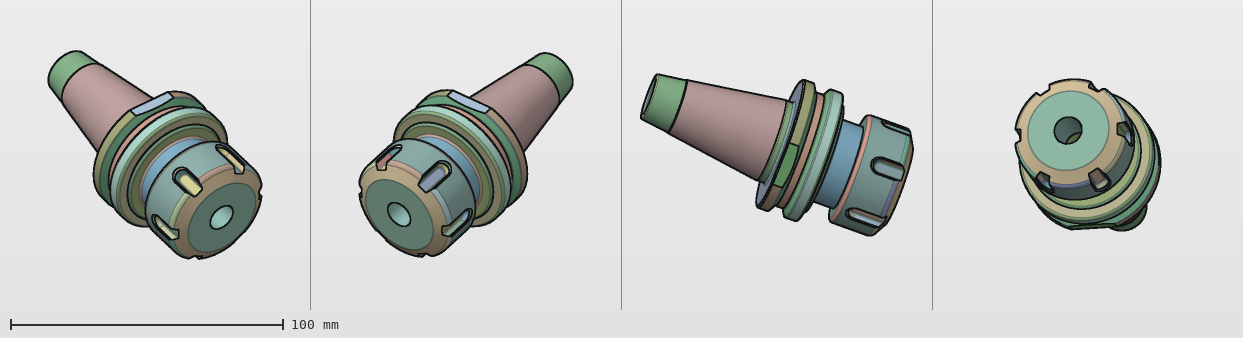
import cadquery as cq
import math


total_length = 97.8
bore_radius = 10.3 / 2

taper_ratio = 7 / 24
gauge_radius = 31.8 / 2
gauge_x = 48.9
shank_step_x = 10.8
shank_step_length = 0.3
shank_step_height = 0.2
shank_rounding = 0.5
taper_end_x = 47.8
relief_start_x = 48.4
relief_radius = 31.2 / 2
relief_fillet = 0.9

recess_radius = 13.0 / 2
recess_depth = 6.8
recess_rounding = 0.7
recess_cone_angle = 45.0

flange_x = 51.15
flange_end_x = 67.0
flange_radius = 50.0 / 2
flange_front_chamfer = 0.6
flange_back_fillet = 1.0
groove_radius = 44.3 / 2
groove_start_x = 57.1
groove_end_x = 60.5
groove_wall_angle = 30.0
groove_front_edge_fillet = 0.4
groove_back_edge_fillet = 0.7
groove_root_fillet = 0.5
flat_distance = 23.5

shoulder_radius = 42.0 / 2
shoulder_end_x = 68.8
shoulder_relief = 0.6
shoulder_fillet = 0.9
neck_radius = 32.0 / 2
neck_fillet = 0.8

nut_x = 77.9
nut_radius = 42.0 / 2
nut_back_fillet = 1.5
nut_face_radius = 30.4 / 2
nut_cone_angle = 60.0
nut_cone_fillet = 2.25
nut_face_chamfer = 0.3

slot_count = 6
first_slot_angle = 30.0
slot_floor_half_width = 1.8
slot_floor_distance = 18.1
slot_wall_foot_half_width = 2.2
slot_wall_foot_distance = 18.4
slot_wall_top_half_width = 2.7
slot_wall_top_distance = 20.3
slot_flare_angle = 55.0
slot_outer_distance = 22.0
short_slot_x = 86.8
long_slot_extra = 2.1


def revolve_about_x(profile):
    """Turn a profile drawn as (x, radius) about the X axis."""
    return profile.revolve(360, (0, 0, 0), (1, 0, 0))


def taper_radius(x):
    """Radius of the fitting taper at x."""
    return gauge_radius + (x - gauge_x) * taper_ratio / 2


def round_rim(body, x, radius, size):
    """Fillet the full circular edge of the given radius at x."""
    tolerance = 0.01
    edge_box = cq.selectors.BoxSelector(
        (x - tolerance, -radius - tolerance, -radius - tolerance),
        (x + tolerance, radius + tolerance, radius + tolerance),
        boundingbox=True,
    )
    largest = cq.selectors.RadiusNthSelector(-1)
    return body.edges(edge_box).edges(largest).fillet(size)


def make_holder_blank():
    groove_run = (flange_radius - groove_radius) * math.tan(math.radians(groove_wall_angle))
    rim_end_x = groove_start_x - groove_run
    collar_x = groove_end_x + groove_run
    step_end_x = shank_step_x + shank_step_length
    blank = revolve_about_x(
        cq.Workplane("XY")
        .moveTo(0, 0)
        .lineTo(0, taper_radius(0))
        .lineTo(shank_step_x, taper_radius(shank_step_x) - shank_step_height)
        .lineTo(step_end_x, taper_radius(step_end_x))
        .lineTo(taper_end_x, taper_radius(taper_end_x))
        .lineTo(relief_start_x, relief_radius)
        .lineTo(flange_x, relief_radius)
        .lineTo(flange_x, flange_radius)
        .lineTo(rim_end_x, flange_radius)
        .lineTo(groove_start_x, groove_radius)
        .lineTo(groove_end_x, groove_radius)
        .lineTo(collar_x, flange_radius)
        .lineTo(flange_end_x, flange_radius)
        .lineTo(flange_end_x, shoulder_radius - shoulder_relief)
        .lineTo(flange_end_x + shoulder_relief, shoulder_radius)
        .lineTo(shoulder_end_x, shoulder_radius)
        .lineTo(shoulder_end_x, neck_radius)
        .lineTo(nut_x, neck_radius)
        .lineTo(nut_x, 0)
        .close()
    )
    blank = round_rim(blank, 0, taper_radius(0), shank_rounding)
    blank = round_rim(blank, flange_x, relief_radius, relief_fillet)
    blank = round_rim(blank, rim_end_x, flange_radius, groove_front_edge_fillet)
    blank = round_rim(blank, collar_x, flange_radius, groove_back_edge_fillet)
    blank = round_rim(blank, groove_start_x, groove_radius, groove_root_fillet)
    blank = round_rim(blank, groove_end_x, groove_radius, groove_root_fillet)
    blank = round_rim(blank, flange_end_x, flange_radius, flange_back_fillet)
    blank = round_rim(blank, shoulder_end_x, shoulder_radius, shoulder_fillet)
    return round_rim(blank, shoulder_end_x, neck_radius, neck_fillet)


def cut_rim_flats(holder):
    """Cut the two parallel flats of the front rim, then chamfer the rim's front outline."""
    flat_length = groove_start_x - flange_x
    for side in (1, -1):
        cutter = cq.Workplane("XY").box(flat_length, 2 * flange_radius, flange_radius)
        cutter_z = side * (flat_distance + flange_radius / 2)
        holder = holder.cut(cutter.translate((flange_x + flat_length / 2, 0, cutter_z)))
    front_face = holder.faces("|X").faces(cq.selectors.NearestToPointSelector((flange_x, 0, 0)))
    rim_edges = front_face.val().outerWire().Edges()
    return holder.newObject(rim_edges).chamfer(flange_front_chamfer)


def make_bore():
    """Through bore with the wider recess, coned at its bottom, in the small end."""
    cone_length = (recess_radius - bore_radius) / math.tan(math.radians(recess_cone_angle))
    return revolve_about_x(
        cq.Workplane("XY")
        .moveTo(0, 0)
        .lineTo(0, recess_radius)
        .lineTo(recess_depth, recess_radius)
        .lineTo(recess_depth + cone_length, bore_radius)
        .lineTo(total_length, bore_radius)
        .lineTo(total_length, 0)
        .close()
    )


def make_holder():
    holder = cut_rim_flats(make_holder_blank())
    holder = holder.cut(make_bore())
    return round_rim(holder, 0, recess_radius, recess_rounding)


def make_slot_cutter(end_x):
    """Open-ended wrench slot on the +Z side: tapered walls, flared rim, rounded floor and end."""
    flare_rise = slot_outer_distance - slot_wall_top_distance
    outer_half_width = slot_wall_top_half_width + flare_rise * math.tan(math.radians(slot_flare_angle))
    half_section = (
        cq.Workplane("YZ")
        .moveTo(0, slot_floor_distance)
        .lineTo(slot_floor_half_width, slot_floor_distance)
        .tangentArcPoint((slot_wall_foot_half_width, slot_wall_foot_distance), relative=False)
        .lineTo(slot_wall_top_half_width, slot_wall_top_distance)
        .lineTo(outer_half_width, slot_outer_distance)
        .lineTo(0, slot_outer_distance)
        .close()
    )
    round_end = half_section.revolve(360, (0, 0, 0), (0, 1, 0))
    half_run = half_section.toPending().extrude(total_length - end_x)
    run = half_run.union(half_run.mirror("XZ"))
    return round_end.union(run).translate((end_x, 0, 0))


def make_nut():
    cone_run = (nut_radius - nut_face_radius) / math.tan(math.radians(nut_cone_angle))
    cone_x = total_length - cone_run
    nut = revolve_about_x(
        cq.Workplane("XY")
        .moveTo(nut_x, 0)
        .lineTo(nut_x, nut_radius)
        .lineTo(cone_x, nut_radius)
        .lineTo(total_length, nut_face_radius)
        .lineTo(total_length, 0)
        .close()
    )
    nut = round_rim(nut, nut_x, nut_radius, nut_back_fillet)
    nut = round_rim(nut, cone_x, nut_radius, nut_cone_fillet)
    nut = round_rim(nut, total_length, nut_face_radius, nut_face_chamfer)
    nut = nut.cut(make_bore())
    for i in range(slot_count):
        angle = first_slot_angle + i * 360 / slot_count
        is_long = i >= slot_count / 2
        end_x = short_slot_x - (long_slot_extra if is_long else 0)
        nut = nut.cut(make_slot_cutter(end_x).rotate((0, 0, 0), (1, 0, 0), angle))
    return nut


holder = make_holder()
nut = make_nut()
result = cq.Compound.makeCompound([holder.val(), nut.val()])